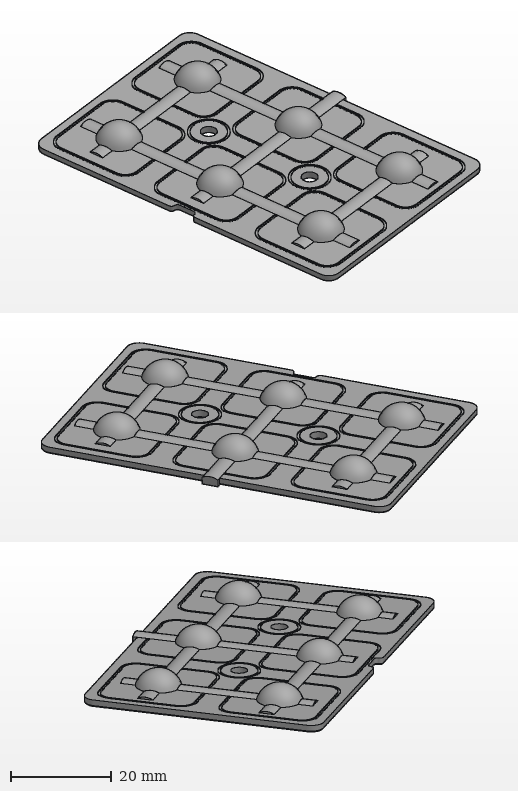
import cadquery as cq
plate_length = 75.0
plate_width = 50.05
plate_thickness = 1.5
plate_corner_radius = 2.6
underside_chamfer = 0.3

dome_pitch = 25.4
dome_base_radius = 4.65
dome_height = 3.4
dome_xs = [-dome_pitch, 0, dome_pitch]
dome_ys = [-dome_pitch / 2, dome_pitch / 2]

bar_width = 3.2
bar_height = 0.45
bar_overhang_x = 8.5
bar_overhang_y = 7.4

tab_width = 3.4
tab_reach = 1.0
notch_width = 5.0
notch_fillet = 0.75

groove_width = 0.5
groove_depth = 0.2
frame_size = 20.55
frame_corner_radius = 3.3
ring_radius = 4.3

hole_diameter = 3.4
hole_xs = [-dome_pitch / 2, dome_pitch / 2]

pin_height = 1.5
pin_offset = 32.4
pin_diameter = 2.0
diamond_width = 1.5
diamond_tip = 0.3
pin_chamfer = 0.15


def make_notch():
    """Cutter whose side walls are S-curves: one fillet runs straight into the other."""
    wall_x = notch_width / 2
    mouth_x = wall_x + notch_fillet
    floor_x = wall_x - notch_fillet
    plate_edge = -plate_width / 2
    wall_y = plate_edge + notch_fillet
    floor_y = wall_y + notch_fillet
    return (
        cq.Workplane("XY")
        .moveTo(-mouth_x, plate_edge)
        .radiusArc((-wall_x, wall_y), -notch_fillet)
        .radiusArc((-floor_x, floor_y), notch_fillet)
        .lineTo(floor_x, floor_y)
        .radiusArc((wall_x, wall_y), notch_fillet)
        .radiusArc((mouth_x, plate_edge), -notch_fillet)
        .close()
        .extrude(plate_thickness)
    )


def make_plate():
    plate = (
        cq.Workplane("XY")
        .box(plate_length, plate_width, plate_thickness, centered=(True, True, False))
        .edges("|Z")
        .fillet(plate_corner_radius)
    )
    plate = plate.cut(make_notch())
    return plate.faces("<Z").chamfer(underside_chamfer)


def frame_groove():
    """Closed groove with a rounded-square outline, centred on the origin."""
    floor = cq.Workplane("XY", origin=(0, 0, plate_thickness - groove_depth))
    inner_size = frame_size - 2 * groove_width
    outer = floor.rect(frame_size, frame_size).extrude(groove_depth)
    inner = floor.rect(inner_size, inner_size).extrude(groove_depth)
    outer = outer.edges("|Z").fillet(frame_corner_radius)
    inner = inner.edges("|Z").fillet(frame_corner_radius - groove_width)
    return outer.cut(inner)


def ring_groove():
    floor = cq.Workplane("XY", origin=(0, 0, plate_thickness - groove_depth))
    return floor.circle(ring_radius).circle(ring_radius - groove_width).extrude(groove_depth)


def make_bar(start, end, width, foot):
    """Bar along +X with an arched top; its foot reaches down into the plate."""
    half = width / 2
    return (
        cq.Workplane("YZ", origin=(start, 0, plate_thickness))
        .moveTo(-half, -foot)
        .lineTo(-half, 0)
        .threePointArc((0, bar_height), (half, 0))
        .lineTo(half, -foot)
        .close()
        .extrude(end - start)
    )


def along_y(bar):
    return bar.rotate((0, 0, 0), (0, 0, 1), 90)


def make_dome():
    """Spherical cap whose foot reaches down into the plate."""
    sphere_radius = (dome_base_radius**2 + dome_height**2) / (2 * dome_height)
    sphere_centre_z = plate_thickness + dome_height - sphere_radius
    ball = cq.Workplane("XY").sphere(sphere_radius).translate((0, 0, sphere_centre_z))
    keep = (
        cq.Workplane("XY", origin=(0, 0, plate_thickness - groove_depth))
        .circle(dome_base_radius)
        .extrude(groove_depth + dome_height)
    )
    return ball.intersect(keep)


def round_pin():
    pin = cq.Workplane("XY").circle(pin_diameter / 2).extrude(-pin_height)
    return pin.faces("<Z").chamfer(pin_chamfer)


def diamond_pin():
    """Pin with a diamond section, long in Y, and small flats on its four tips."""
    half_x = diamond_width / 2
    half_y = pin_diameter / 2
    tip = diamond_tip / 2
    outline = [
        (half_x, -tip), (half_x, tip), (tip, half_y), (-tip, half_y),
        (-half_x, tip), (-half_x, -tip), (-tip, -half_y), (tip, -half_y),
    ]
    pin = cq.Workplane("XY").polyline(outline).close().extrude(-pin_height)
    return pin.faces("<Z").chamfer(pin_chamfer)


result = make_plate()

for x in dome_xs:
    for y in dome_ys:
        result = result.cut(frame_groove().translate((x, y, 0)))

for x in hole_xs:
    result = result.cut(ring_groove().translate((x, 0, 0)))
    hole = cq.Workplane("XY").circle(hole_diameter / 2).extrude(plate_thickness)
    result = result.cut(hole.translate((x, 0, 0)))

bar_end_x = dome_pitch + bar_overhang_x
for y in dome_ys:
    bar = make_bar(-bar_end_x, bar_end_x, bar_width, groove_depth)
    result = result.union(bar.translate((0, y, 0)))

bar_end_y = dome_pitch / 2 + bar_overhang_y
for x in dome_xs:
    bar = make_bar(-bar_end_y, bar_end_y, bar_width, groove_depth)
    result = result.union(along_y(bar).translate((x, 0, 0)))

tab = make_bar(dome_pitch / 2, plate_width / 2 + tab_reach, tab_width, plate_thickness)
result = result.union(along_y(tab))

for x in dome_xs:
    for y in dome_ys:
        result = result.union(make_dome().translate((x, y, 0)))

result = result.union(diamond_pin().translate((-pin_offset, 0, 0)))
result = result.union(round_pin().translate((pin_offset, 0, 0)))